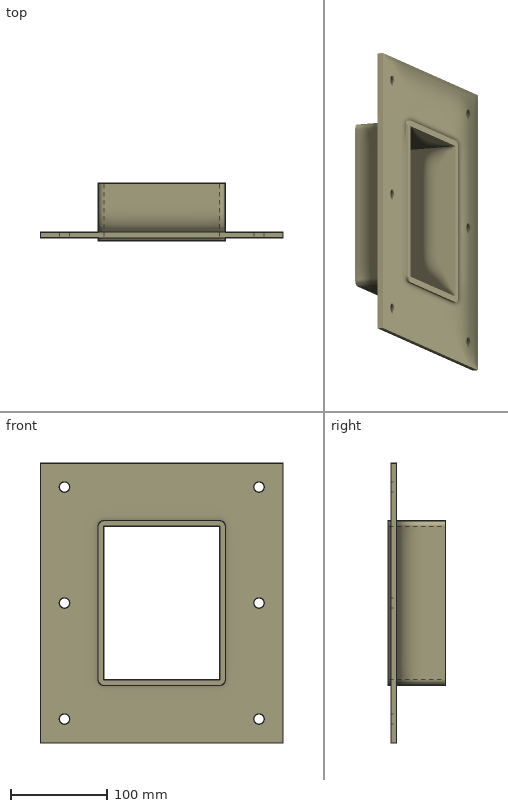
import cadquery as cq

opening_width = 120.5
opening_height = 159.5
sleeve_wall = 6.0
sleeve_length = 60.0
sleeve_corner_radius = 6.0
front_lip = 3.0

sleeve_width = opening_width + 2 * sleeve_wall
sleeve_height = opening_height + 2 * sleeve_wall

flange_width = 60.0
plate_thickness = 6.0

plate_width = sleeve_width + 2 * flange_width
plate_height = sleeve_height + 2 * flange_width

hole_diameter = 10.5
hole_edge_distance = 25.0
hole_columns = 2
hole_rows = 3

hole_column_spacing = (plate_width - 2 * hole_edge_distance) / (hole_columns - 1)
hole_row_spacing = (plate_height - 2 * hole_edge_distance) / (hole_rows - 1)


def block(width, height, depth, front_y):
    """Box centred on the Y axis, reaching from front_y toward +Y."""
    return cq.Workplane("XY").box(width, depth, height).translate((0, front_y + depth / 2, 0))


def make_plate():
    """Flat plate with its front face at Y = 0 and the mounting holes drilled through."""
    plate = block(plate_width, plate_height, plate_thickness, 0)
    return (
        plate.faces("<Y")
        .workplane(centerOption="CenterOfBoundBox")
        .rarray(hole_column_spacing, hole_row_spacing, hole_columns, hole_rows)
        .hole(hole_diameter)
    )


def make_sleeve_body():
    """Solid sleeve with its four lengthwise edges rounded."""
    body = block(sleeve_width, sleeve_height, sleeve_length, -front_lip)
    return body.edges("|Y").fillet(sleeve_corner_radius)


def make_opening():
    """Sharp-cornered passage through the whole sleeve."""
    return block(opening_width, opening_height, sleeve_length, -front_lip)


result = make_plate().union(make_sleeve_body()).cut(make_opening())